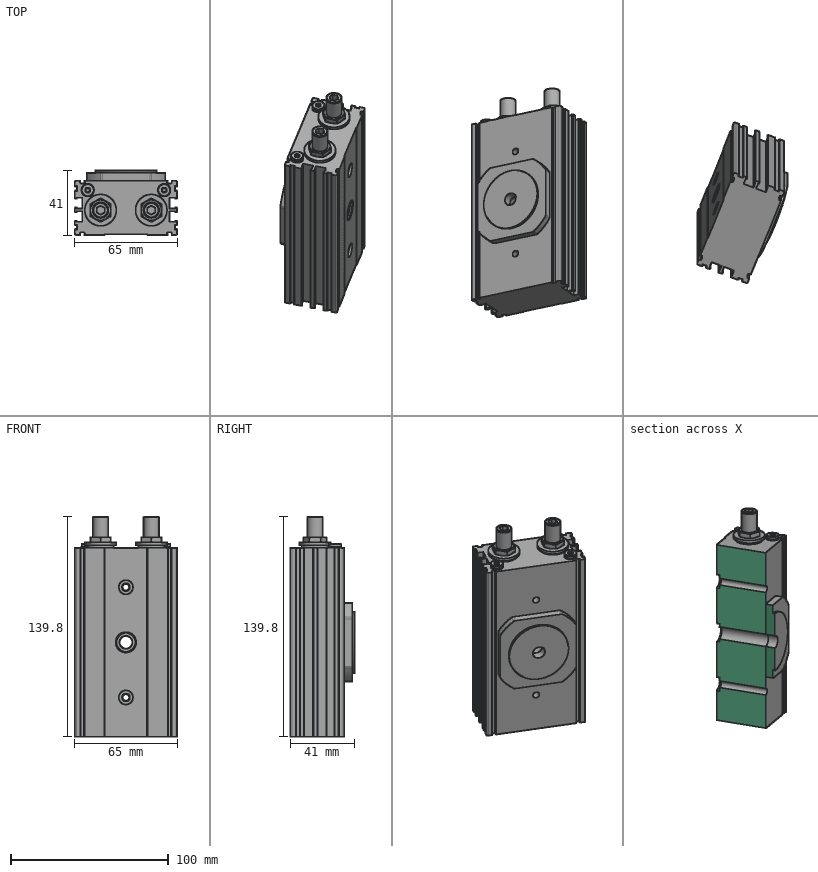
import cadquery as cq
import math


housing_width = 65.0
housing_depth = 34.5
housing_height = 120.0
corner_radius = 1.0
relief_width = 27.7
relief_depth = 0.4
relief_slope_run = 0.5

face_groove_outer_edge = 3.5
face_groove_inner_edge = 6.1
face_groove_depth = 1.7
face_groove_bevel = 0.4
face_groove_nick = 0.4
face_groove_nick_depth = 1.0
face_groove_lip = 0.4

side_groove_inset = 5.0
side_groove_opening = 2.3
side_groove_width = 3.0
side_groove_lip = 0.7
side_groove_depth = 1.3

slot_centre_y = 16.0
slot_offset = 4.25
slot_opening = 5.4
slot_width = 6.6
slot_lip = 1.2
slot_depth = 4.75
mouth_chamfer = 0.4

hole_centre_z = housing_height / 2
bore_diameter = 8.0
pilot_diameter = 12.0
pilot_depth = 1.8
pilot_chamfer = 0.5
mount_spacing = 70.0
mount_hole_diameter = 4.13
mount_chamfer = 0.45
mount_counterbore_diameter = 9.0
mount_counterbore_depth = 1.8

table_width = 50.0
table_corner_diameter = 59.0
table_thickness = 5.0
table_edge_radius = 2.0
ring_diameter = 39.0
ring_height = 1.5

rod_y = 15.8
rod_spacing = 32.2
rod_diameter = 10.0
rod_chamfer = 0.5
rod_length = 19.8
rod_socket_flats = 5.0
rod_socket_depth = 5.0
washer_neck_diameter = 16.9
washer_neck_height = 1.6
washer_diameter = 20.0
washer_height = 3.4
nut_flats = 13.0
nut_height = 3.4
nut_chamfer_angle = 20.0

plug_spacing = 48.5
plug_y = 28.5
plug_diameter = 8.0
plug_head_diameter = 7.9
plug_base_height = 0.8
plug_height = 2.5
plug_chamfer = 0.2
plug_socket_flats = 2.5
plug_socket_rim_diameter = 3.24
plug_socket_rim_depth = 0.2
plug_socket_depth = 1.5


def hexagon(flats, height, bottom_z):
    """Hexagonal prism about the Z axis with its corners pointing along Y."""
    across_corners = flats / math.cos(math.radians(30))
    prism = cq.Workplane("XY").polygon(6, across_corners).extrude(height)
    return prism.rotate((0, 0, 0), (0, 0, 1), 90).translate((0, 0, bottom_z))


def cylinder_z(diameter, height, bottom_z=0.0):
    return cq.Workplane("XY").workplane(offset=bottom_z).circle(diameter / 2).extrude(height)


def cylinder_y(diameter, start_y, length, z=hole_centre_z):
    """Cylinder that runs in +Y from start_y on the centre plane."""
    disc = cq.Workplane("XZ", origin=(0, start_y, z)).circle(diameter / 2)
    return disc.extrude(-length)


def cone_y(diameter, depth, start_y, z):
    """45 degree countersink that narrows by its depth on every side down to the given diameter."""
    rim = cq.Workplane("XZ", origin=(0, start_y, z)).circle(diameter / 2 + depth)
    return rim.workplane(offset=-depth).circle(diameter / 2).loft()


def side_tee_slot(side, y, opening, width, lip, depth):
    """T-slot along Z with a chamfered mouth, open on the side face given by side = -1 or +1."""
    face_x = side * housing_width / 2
    mouth_x = face_x - side * mouth_chamfer
    lip_x = face_x - side * lip
    floor_x = face_x - side * depth
    half_outline = [
        (face_x, opening / 2 + mouth_chamfer),
        (mouth_x, opening / 2),
        (lip_x, opening / 2),
        (lip_x, width / 2),
        (floor_x, width / 2),
    ]
    outline = half_outline + [(x, -offset) for x, offset in reversed(half_outline)]
    return cq.Workplane("XY").center(0, y).polyline(outline).close().extrude(housing_height)


def make_face_groove():
    """Groove along Z in the front face, near the +X side."""
    floor_y = face_groove_depth
    outline = [
        (face_groove_outer_edge, 0),
        (face_groove_outer_edge, floor_y - face_groove_bevel),
        (face_groove_outer_edge + face_groove_bevel, floor_y),
        (face_groove_inner_edge - face_groove_bevel, floor_y),
        (face_groove_inner_edge + face_groove_nick, face_groove_nick_depth),
        (face_groove_inner_edge, face_groove_lip),
        (face_groove_inner_edge, 0),
    ]
    points = [(housing_width / 2 - inset, y) for inset, y in outline]
    return cq.Workplane("XY").polyline(points).close().extrude(housing_height)


def make_relief():
    """Shallow recess with sloping walls along the middle of the front face."""
    outer_x = relief_width / 2
    inner_x = outer_x - relief_slope_run
    outline = [(-outer_x, 0), (-inner_x, relief_depth), (inner_x, relief_depth), (outer_x, 0)]
    return cq.Workplane("XY").polyline(outline).close().extrude(housing_height)


def make_housing():
    centre_y = housing_depth / 2
    body = cq.Workplane("XY").center(0, centre_y).rect(housing_width, housing_depth)
    body = body.extrude(housing_height).edges("|Z").fillet(corner_radius)
    body = body.cut(make_relief())

    front_groove = make_face_groove()
    back_groove = front_groove.mirror("XZ", (0, centre_y, 0))
    for groove in (front_groove, back_groove):
        body = body.cut(groove).cut(groove.mirror("YZ"))

    for side in (-1, 1):
        for y in (side_groove_inset, housing_depth - side_groove_inset):
            body = body.cut(side_tee_slot(side, y, side_groove_opening, side_groove_width,
                                          side_groove_lip, side_groove_depth))
        for y in (slot_centre_y - slot_offset, slot_centre_y + slot_offset):
            body = body.cut(side_tee_slot(side, y, slot_opening, slot_width, slot_lip, slot_depth))

    body = body.cut(cylinder_y(bore_diameter, 0, housing_depth))
    body = body.cut(cylinder_y(pilot_diameter, relief_depth, pilot_depth))
    body = body.cut(cone_y(pilot_diameter, pilot_chamfer, relief_depth, hole_centre_z))

    for end in (-1, 1):
        z = hole_centre_z + end * mount_spacing / 2
        seat_y = relief_depth + mount_counterbore_depth
        body = body.cut(cylinder_y(mount_hole_diameter, 0, housing_depth, z))
        body = body.cut(cylinder_y(mount_counterbore_diameter, relief_depth, mount_counterbore_depth, z))
        body = body.cut(cone_y(mount_hole_diameter, mount_chamfer, seat_y, z))
    return body


def make_table():
    flange = cq.Workplane("XZ", origin=(0, housing_depth, hole_centre_z))
    flange = flange.rect(table_width, table_width).extrude(-table_thickness)
    flange = flange.intersect(cylinder_y(table_corner_diameter, housing_depth, table_thickness))
    flange = flange.edges("|Y").fillet(table_edge_radius)
    ring = cylinder_y(ring_diameter, housing_depth + table_thickness, ring_height)
    bore = cylinder_y(bore_diameter, housing_depth, table_thickness + ring_height)
    return flange.union(ring).cut(bore)


def make_rod():
    """Adjusting rod standing on Z = 0, with a hexagonal socket in its top end."""
    rod = cylinder_z(rod_diameter, rod_length).faces(">Z").chamfer(rod_chamfer)
    return rod.cut(hexagon(rod_socket_flats, rod_socket_depth, rod_length - rod_socket_depth))


def make_washer():
    """Flanged washer on a narrower neck, bored for the rod."""
    neck = cylinder_z(washer_neck_diameter, washer_neck_height)
    flange = cylinder_z(washer_diameter, washer_height - washer_neck_height, washer_neck_height)
    return neck.union(flange).cut(cylinder_z(rod_diameter, washer_height))


def make_nut():
    """Hexagon nut on top of the washer, its corners turned off by a cone at both ends."""
    nut_corner_radius = nut_flats / 2 / math.cos(math.radians(30))
    bevel_run = nut_corner_radius - nut_flats / 2
    bevel_rise = bevel_run * math.tan(math.radians(nut_chamfer_angle))
    top = nut_height
    envelope = (
        cq.Workplane("XZ")
        .moveTo(0, 0)
        .lineTo(nut_flats / 2, 0)
        .lineTo(nut_corner_radius, bevel_rise)
        .lineTo(nut_corner_radius, top - bevel_rise)
        .lineTo(nut_flats / 2, top)
        .lineTo(0, top)
        .close()
        .revolve(360, (0, 0, 0), (0, 1, 0))
    )
    nut = hexagon(nut_flats, nut_height, 0).intersect(envelope)
    return nut.cut(cylinder_z(rod_diameter, nut_height)).translate((0, 0, washer_height))


def make_plug():
    """Socket plug with a head slightly narrower than its base."""
    base = cylinder_z(plug_diameter, plug_base_height)
    head = cylinder_z(plug_head_diameter, plug_height - plug_base_height, plug_base_height)
    head = head.faces(">Z").chamfer(plug_chamfer)
    socket = hexagon(plug_socket_flats, plug_socket_depth, plug_height - plug_socket_depth)
    rim = cq.Workplane("XY").workplane(offset=plug_height).circle(plug_socket_rim_diameter / 2)
    rim_floor_radius = plug_socket_rim_diameter / 2 - plug_socket_rim_depth
    countersink = rim.workplane(offset=-plug_socket_rim_depth).circle(rim_floor_radius).loft()
    return base.union(head).cut(socket).cut(countersink)


housing = make_housing()
table = make_table()
bodies = [housing.val(), table.val()]

for side in (-1, 1):
    rod_place = (side * rod_spacing / 2, rod_y, housing_height)
    plug_place = (side * plug_spacing / 2, plug_y, housing_height)
    rod = make_rod().translate(rod_place)
    washer = make_washer().translate(rod_place)
    nut = make_nut().translate(rod_place)
    plug = make_plug().translate(plug_place)
    bodies += [rod.val(), washer.val(), nut.val(), plug.val()]

result = cq.Compound.makeCompound(bodies)